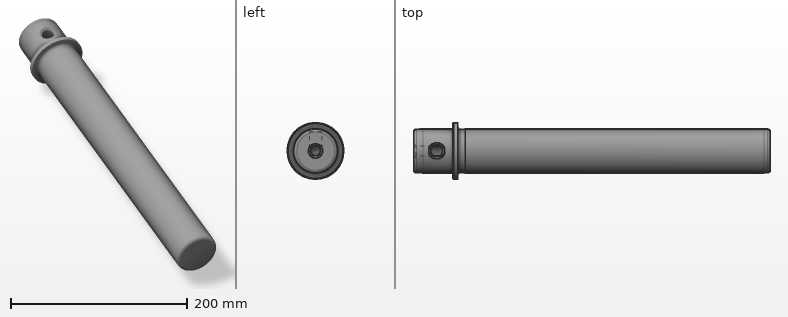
import cadquery as cq
import math

length = 405.0
body_radius = 25.0
lead_start_radius = 24.7
lead_length = 10.5
lead_edge_fillet = 3.2
tail_taper_length = 7.3
tail_taper_drop = 0.5
tail_edge_fillet = 3.5

collar_start = 44.5
collar_end = 50.2
collar_radius = 32.0
collar_chamfer = 1.0
front_root_fillet = 1.0
rear_root_fillet = 2.5

neck_end = 58.7
neck_radius = 24.7

axial_hole_diameter = 11.5
axial_hole_depth = 33.2
axial_mouth_chamfer = 2.5
top_hole_diameter = 13.8
top_hole_x = 26.5
top_hole_depth = body_radius
top_mouth_chamfer = 2.5
drill_tip_angle = 118.0


def make_body():
    tail_radius = body_radius - tail_taper_drop
    return (
        cq.Workplane("XZ")
        .lineTo(0, lead_start_radius)
        .lineTo(lead_length, body_radius)
        .lineTo(collar_start, body_radius)
        .lineTo(collar_start, collar_radius)
        .lineTo(collar_end, collar_radius)
        .lineTo(collar_end, neck_radius)
        .lineTo(neck_end, neck_radius)
        .lineTo(neck_end, body_radius)
        .lineTo(length - tail_taper_length, body_radius)
        .lineTo(length, tail_radius)
        .lineTo(length, 0)
        .close()
        .revolve(360, (0, 0, 0), (1, 0, 0))
    )


def circle_edge(x, radius):
    """Select the circular edge at one axial position and radius."""
    margin = 0.2
    outer = radius + margin
    inner = radius - margin
    return cq.selectors.BoxSelector(
        (x - margin, -outer, -outer), (x + margin, outer, outer), boundingbox=True
    ) - cq.selectors.BoxSelector(
        (x - margin, -inner, -inner), (x + margin, inner, inner), boundingbox=True
    )


def finish_edges(body):
    body = body.edges(circle_edge(0, lead_start_radius)).fillet(lead_edge_fillet)
    body = body.edges(circle_edge(length, body_radius - tail_taper_drop)).fillet(tail_edge_fillet)
    body = body.edges(circle_edge(collar_start, body_radius)).fillet(front_root_fillet)
    body = body.edges(circle_edge(collar_end, neck_radius)).fillet(rear_root_fillet)
    return body.edges(circle_edge(collar_start, collar_radius)).chamfer(collar_chamfer)


def drill_cutter(depth, diameter):
    """Pointed drill shape going down from the XY plane; depth excludes the tip."""
    radius = diameter / 2
    tip_length = radius / math.tan(math.radians(drill_tip_angle / 2))
    return (
        cq.Workplane("XZ")
        .lineTo(radius, 0)
        .lineTo(radius, -depth)
        .lineTo(0, -depth - tip_length)
        .close()
        .revolve(360, (0, 0, 0), (0, 1, 0))
    )


def drill_axial_hole(body):
    cutter = drill_cutter(axial_hole_depth, axial_hole_diameter)
    body = body.cut(cutter.rotate((0, 0, 0), (0, 1, 0), -90))
    return body.edges(circle_edge(0, axial_hole_diameter / 2)).chamfer(axial_mouth_chamfer)


def drill_top_hole(body):
    cutter = drill_cutter(top_hole_depth, top_hole_diameter)
    body = body.cut(cutter.translate((top_hole_x, 0, body_radius)))
    rim_radius = top_hole_diameter / 2
    rim_margin = 0.5
    reach = rim_radius + rim_margin
    rim_low = math.sqrt(body_radius**2 - rim_radius**2) - rim_margin
    rim = cq.selectors.BoxSelector(
        (top_hole_x - reach, -reach, rim_low),
        (top_hole_x + reach, reach, body_radius + rim_margin),
        boundingbox=True,
    )
    return body.edges(rim).chamfer(top_mouth_chamfer)


pin = finish_edges(make_body())
pin = drill_axial_hole(pin)
pin = drill_top_hole(pin)
result = pin.translate((-length / 2, 0, 0))